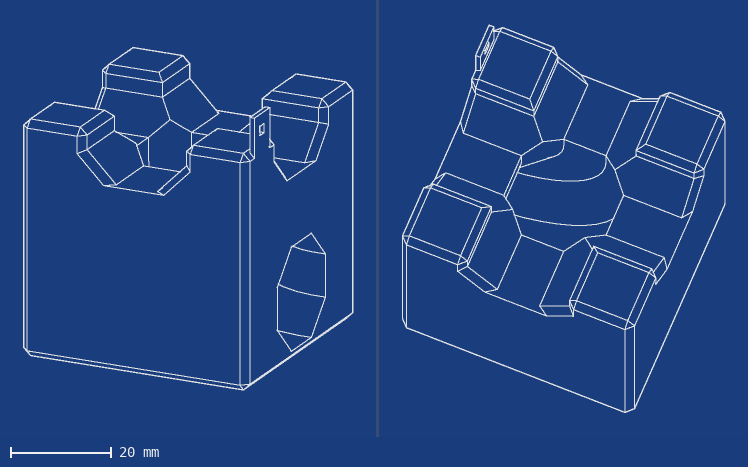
import cadquery as cq
import math

side = 50.0
half = side / 2
chamfer = 1.5

track_width = 22.0
track_half = track_width / 2
tan_facet = math.tan(math.pi / 8)
facet_half = track_half * tan_facet
slot_depth = track_half
slot_floor = side - slot_depth
straight_depth = 3.65
bend_inner_radius = track_half

total_height = 57.0
tab_thickness = 1.0
tab_width = 7.0
tab_center_y = -18.0
tab_hole = 1.95


def octagon(plane):
    """Passage cross-section: an octagon with flats facing the axes of the given plane."""
    return plane.polyline([
        (track_half, -facet_half), (track_half, facet_half),
        (facet_half, track_half), (-facet_half, track_half),
        (-track_half, facet_half), (-track_half, -facet_half),
        (-facet_half, -track_half), (facet_half, -track_half),
    ]).close()


def block():
    """Cube standing on the XY plane with every edge chamfered."""
    body = cq.Workplane("XY").box(side, side, side, centered=(True, True, False))
    return body.edges().chamfer(chamfer)


def slot_outline(plane, growth):
    """Lower half of an octagon grown sideways, with its floor kept at the slot depth."""
    reach = track_half + growth
    shoulder_z = side - reach * tan_facet
    floor_half = reach - (shoulder_z - slot_floor)
    return plane.polyline([
        (reach, side), (reach, shoulder_z), (floor_half, slot_floor),
        (-floor_half, slot_floor), (-reach, shoulder_z), (-reach, side),
    ]).close()


def rim_outline(plane, growth):
    """Trapezoid that widens the slot by growth at the top of the block."""
    rim = track_half + growth
    return plane.polyline([
        (track_half, side - growth), (rim, side), (-rim, side), (-track_half, side - growth),
    ]).close()


def slot():
    """Slot along Y, with its walls chamfered at the top edges and at both ends."""
    middle = cq.Workplane("XZ")
    cutter = slot_outline(middle, 0).extrude(half, both=True)
    cutter = cutter.union(rim_outline(middle, chamfer).extrude(half, both=True))
    for end in (-1, 1):
        face_origin = (0, end * half, 0)
        inward = end * chamfer
        wall_start = slot_outline(cq.Workplane("XZ", origin=face_origin), chamfer)
        wall_flare = slot_outline(wall_start.workplane(offset=inward), 0).loft(ruled=True)
        corner_start = rim_outline(cq.Workplane("XZ", origin=face_origin), 2 * chamfer)
        corner_flare = rim_outline(corner_start.workplane(offset=inward), chamfer).loft(ruled=True)
        cutter = cutter.union(wall_flare).union(corner_flare)
    return cutter


def passage():
    """Octagonal passage: down from the slots, a quarter bend, then out through +X."""
    bend_top = slot_floor - straight_depth
    bend_radius = bend_inner_radius + track_half
    drop = octagon(cq.Workplane("XY", origin=(0, 0, bend_top))).extrude(side - bend_top)
    bend = octagon(cq.Workplane("XY", origin=(0, 0, bend_top))).revolve(
        90, (bend_radius, 0, 0), (bend_radius, -1, 0))
    outlet = octagon(cq.Workplane("YZ", origin=(bend_radius, 0, bend_top - bend_radius))).extrude(
        half - bend_radius)
    return drop.union(bend).union(outlet)


def tab():
    """Upright plate flush with the +X face, with a square hole centred above the block."""
    base_z = side - chamfer
    plate = cq.Workplane("XY").box(tab_thickness, tab_width, total_height - base_z)
    center_x = half - tab_thickness / 2
    plate = plate.translate((center_x, tab_center_y, (total_height + base_z) / 2))
    hole = cq.Workplane("XY").box(2 * tab_thickness, tab_hole, tab_hole)
    hole = hole.translate((center_x, tab_center_y, (total_height + side) / 2))
    return plate.cut(hole)


slot_y = slot()
slot_x = slot_y.rotate((0, 0, 0), (0, 0, 1), 90)
result = block().cut(slot_y).cut(slot_x).cut(passage()).union(tab())